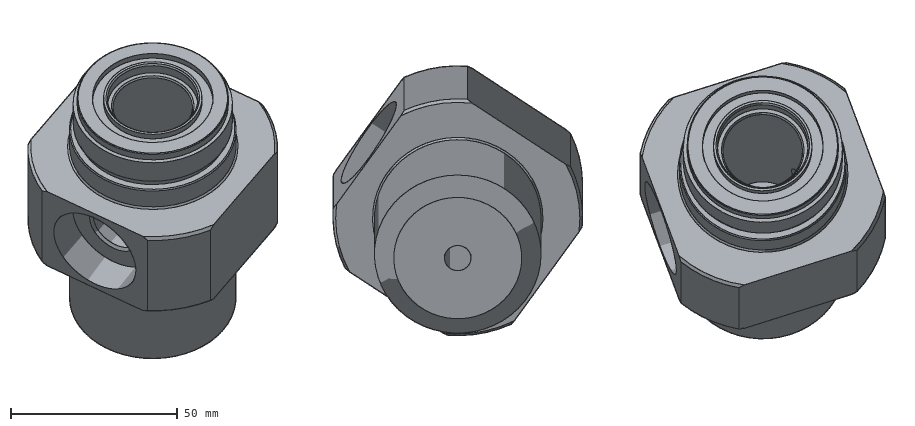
import cadquery as cq

height = 92.5
block_width = 65.0

block_bottom = 37.8
block_top = 70.9
block_corner_radius = 37.6
block_bevel = 0.8
block_middle = (block_bottom + block_top) / 2

body_radius = 25.1
foot_radius = 19.2
foot_height = 3.8
flare = 0.6
shoulder_top = 78.8
shoulder_chamfer = 0.4

cap_radius = 22.8
cap_chamfer = 0.3
band_radius = 24.0
band_bottom = 81.6
band_top = 89.8

groove_outer_radius = 18.1
groove_inner_radius = 14.8
groove_depth = 2.0

mouth_radius = 13.6
mouth_depth = 3.6
bore_radius = 11.9
bore_floor = block_bottom - flare
bore_chamfer = 0.5
outlet_radius = 4.0
outlet_chamfer = 0.6

spotface_radius = 14.6
spotface_depth = 10.6
port_radius = 7.8
port_chamfer = 0.8
rear_port_radius = 5.0


def revolve_profile(points):
    """Turn a closed (radius, height) outline around the Z axis."""
    return cq.Workplane("XZ").polyline(points).close().revolve(360, (0, 0, 0), (0, 1, 0))


def make_block():
    block_height = block_top - block_bottom
    square = (
        cq.Workplane("XY").workplane(offset=block_bottom)
        .rect(block_width, block_width).extrude(block_height)
    )
    corner_limit = (
        cq.Workplane("XY").workplane(offset=block_bottom)
        .circle(block_corner_radius).extrude(block_height)
        .edges().chamfer(block_bevel)
    )
    return square.intersect(corner_limit)


def make_turned_body():
    return revolve_profile([
        (0, 0),
        (foot_radius, 0),
        (body_radius, foot_height),
        (body_radius, block_bottom - flare),
        (body_radius + flare, block_bottom),
        (body_radius + flare, block_top),
        (body_radius, block_top + flare),
        (body_radius, shoulder_top - shoulder_chamfer),
        (body_radius - shoulder_chamfer, shoulder_top),
        (cap_radius, shoulder_top),
        (cap_radius, band_bottom),
        (band_radius, band_bottom),
        (band_radius, band_top),
        (cap_radius, band_top),
        (cap_radius, height - cap_chamfer),
        (cap_radius - cap_chamfer, height),
        (0, height),
    ])


def make_bore():
    ledge = height - mouth_depth
    return revolve_profile([
        (0, 0),
        (outlet_radius, 0),
        (outlet_radius, bore_floor - outlet_chamfer),
        (outlet_radius + outlet_chamfer, bore_floor),
        (bore_radius, bore_floor),
        (bore_radius, ledge - bore_chamfer),
        (bore_radius + bore_chamfer, ledge),
        (mouth_radius, ledge),
        (mouth_radius, height - bore_chamfer),
        (mouth_radius + bore_chamfer, height),
        (0, height),
    ])


def make_ring_groove():
    return (
        cq.Workplane("XY").workplane(offset=height - groove_depth)
        .circle(groove_outer_radius).circle(groove_inner_radius).extrude(groove_depth)
    )


def make_cross_port():
    """Stepped port: spotface and wide hole in front of the bore, narrow hole behind it."""
    front_face = -block_width / 2
    seat = front_face + spotface_depth
    outline = [
        (0, front_face),
        (spotface_radius, front_face),
        (spotface_radius, seat),
        (port_radius + port_chamfer, seat),
        (port_radius, seat + port_chamfer),
        (port_radius, 0),
        (rear_port_radius, 0),
        (rear_port_radius, block_width / 2),
        (0, block_width / 2),
    ]
    port = cq.Workplane("XY").polyline(outline).close().revolve(360, (0, 0, 0), (0, 1, 0))
    return port.translate((0, 0, block_middle))


result = (
    make_turned_body()
    .union(make_block())
    .cut(make_bore())
    .cut(make_ring_groove())
    .cut(make_cross_port())
)